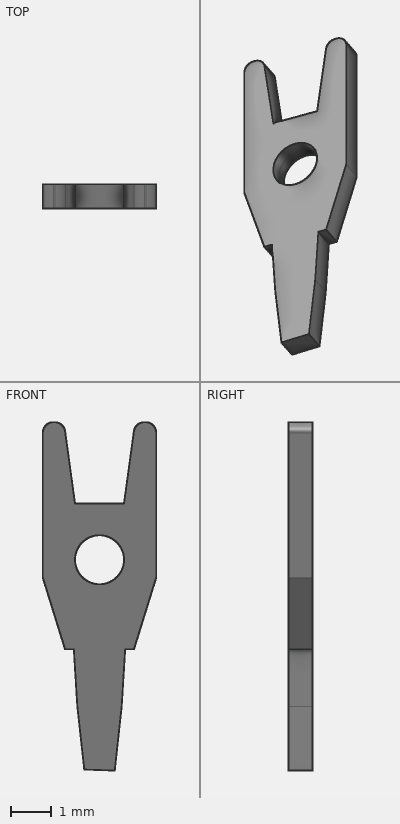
import cadquery as cq

height = 8.6
width = 2.8
thickness = 0.6
half_width = width / 2

gap_depth = 2.0
gap_floor_half_width = 0.6
gap_mouth_half_width = 0.88
prong_tip_radius = 0.27

hole_diameter = 1.2
hole_height = 5.2

body_side_bottom = 4.765
shoulder_bottom = 2.99
shoulder_half_width = 0.85

neck_half_width = 0.64
bend_height = 1.59
bend_half_width = 0.55
tip_half_width = 0.38
tip_slant = 0.03

gap_floor = height - gap_depth

right_edge = [
    (tip_half_width, 0),
    (bend_half_width, bend_height),
    (neck_half_width, shoulder_bottom),
    (shoulder_half_width, shoulder_bottom),
    (half_width, body_side_bottom),
    (half_width, height),
    (gap_mouth_half_width, height),
    (gap_floor_half_width, gap_floor),
]

left_edge = [(-x, z) for x, z in reversed(right_edge[1:])]
left_edge.append((-tip_half_width, tip_slant))

plate = (
    cq.Workplane("XZ")
    .polyline(right_edge + left_edge)
    .close()
    .extrude(thickness / 2, both=True)
)

plate = plate.faces(">Z").edges("|Y").fillet(prong_tip_radius)

hole = (
    cq.Workplane("XZ")
    .center(0, hole_height)
    .circle(hole_diameter / 2)
    .extrude(thickness, both=True)
)

result = plate.cut(hole)